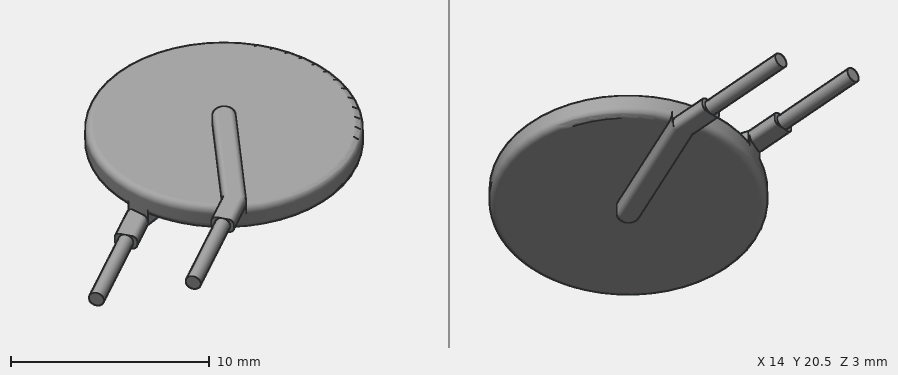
import cadquery as cq
import math

disc_diameter = 14.0
disc_radius = disc_diameter / 2
disc_thickness = 1.4
disc_edge_radius = 0.4

overall_length = 20.52
lead_thickness = 0.8
lead_width = 1.2
lead_half_width = lead_width / 2
lead_edge_radius = 0.29
lead_pitch = 5.09
lead_x = lead_pitch / 2
bend_y = -6.5
coating_end_y = -8.5

pin_diameter = lead_thickness
pin_end_y = disc_radius - overall_length

disc_top_z = disc_thickness / 2
rim_bottom_z = disc_top_z - disc_edge_radius
lead_top_z = disc_top_z + lead_thickness
lead_axis_z = disc_top_z + lead_thickness / 2


def make_disc():
    blank = cq.Workplane("XY", origin=(0, 0, -disc_top_z)).circle(disc_radius).extrude(disc_thickness)
    return blank.faces("<Z or >Z").edges().fillet(disc_edge_radius)


def make_lead_bar(bottom_z):
    """Bent bar with a round start, square edged, from bottom_z up to the lead top."""
    slant_angle = math.atan2(lead_x, -bend_y)
    side_x = lead_half_width * math.cos(slant_angle)
    side_y = lead_half_width * math.sin(slant_angle)
    miter_rise = lead_half_width * math.tan(slant_angle / 2)
    outline = (
        cq.Workplane("XY", origin=(0, 0, bottom_z))
        .moveTo(side_x, side_y)
        .lineTo(lead_x + lead_half_width, bend_y + miter_rise)
        .lineTo(lead_x + lead_half_width, coating_end_y)
        .lineTo(lead_x - lead_half_width, coating_end_y)
        .lineTo(lead_x - lead_half_width, bend_y - miter_rise)
        .lineTo(-side_x, -side_y)
        .threePointArc((-side_y, side_x), (side_x, side_y))
        .close()
    )
    return outline.extrude(lead_top_z - bottom_z)


def round_long_edges(bar, face):
    """Round the edges of a face, leaving its square end at the pin sharp."""
    return bar.faces(face).edges("not <Y").fillet(lead_edge_radius)


def make_lead():
    coating = round_long_edges(make_lead_bar(disc_top_z), ">Z")
    coating = round_long_edges(coating, "<Z")

    disc_column = cq.Workplane("XY").circle(disc_radius).extrude(lead_top_z)
    seat = round_long_edges(make_lead_bar(rim_bottom_z), ">Z").intersect(disc_column)

    pin = (
        cq.Workplane("XZ", origin=(lead_x, coating_end_y, lead_axis_z))
        .circle(pin_diameter / 2)
        .extrude(coating_end_y - pin_end_y)
    )
    return coating.union(seat).union(pin)


upper_lead = make_lead()
lower_lead = upper_lead.rotate((0, 0, 0), (0, 1, 0), 180)

result = make_disc().union(upper_lead).union(lower_lead).clean()